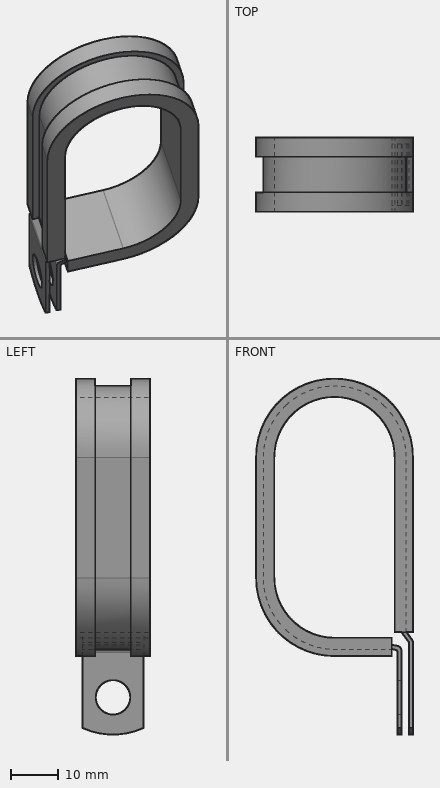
import cadquery as cq

height = 75.2
outer_radius = 16.59
band_thickness = 3.9
band_width = 15.7
groove_width = 7.5
groove_depth = 1.5
lower_center_z = 33.2
upper_center_z = height - outer_radius
upright_end_z = 21.7
foot_end_x = 12.1

strap_thickness = 0.9
tab_width = 12.95
tab_gap = 1.5
tab_tip_rise = 1.4
hole_diameter = 7.2
hole_z = 7.9
strap_outer_radius = outer_radius - groove_depth

joggle_end_z = 19.8
joggle_inner_drop = 0.2
joggle_step = 0.15
joggle_width = 1.1
joggle_bend_radius = 0.75
foot_bend_drop = 0.3
foot_bend_radius = 1.2
foot_inner_radius = 0.45


def extrude_centered(outline, width):
    """Extrude an XZ outline equally to both sides of Y = 0."""
    return outline.extrude(width / 2, both=True)


def band(outside, inside, width):
    """Loop between two radii, running from the foot round to the upright."""
    outline = (
        cq.Workplane("XZ")
        .moveTo(foot_end_x, lower_center_z - outside)
        .lineTo(0, lower_center_z - outside)
        .radiusArc((-outside, lower_center_z), outside)
        .lineTo(-outside, upper_center_z)
        .threePointArc((0, upper_center_z + outside), (outside, upper_center_z))
        .lineTo(outside, upright_end_z)
        .lineTo(inside, upright_end_z)
        .lineTo(inside, upper_center_z)
        .threePointArc((0, upper_center_z + inside), (-inside, upper_center_z))
        .lineTo(-inside, lower_center_z)
        .radiusArc((0, lower_center_z - inside), -inside)
        .lineTo(foot_end_x, lower_center_z - inside)
        .close()
    )
    return extrude_centered(outline, width)


def bent_strap(points, bend_radius, bend_z):
    """Strap end from its side outline, with its outer bend rounded."""
    strap = extrude_centered(cq.Workplane("XZ").polyline(points).close(), tab_width)
    outer_x = max(x for x, z in points)
    bend_edge = cq.selectors.NearestToPointSelector((outer_x, 0, bend_z))
    return strap.edges("|Y").edges(bend_edge).fillet(bend_radius)


def upright_tab():
    """Strap end that steps outward below the upright, then hangs straight."""
    start_x = strap_outer_radius + joggle_step
    outer_x = outer_radius
    inner_x = outer_x - strap_thickness
    inner_z = joggle_end_z - joggle_inner_drop
    points = [
        (start_x - joggle_width, upright_end_z),
        (start_x, upright_end_z),
        (outer_x, joggle_end_z),
        (outer_x, 0),
        (inner_x, 0),
        (inner_x, inner_z),
    ]
    return bent_strap(points, joggle_bend_radius, joggle_end_z)


def foot_tab():
    """Strap end that leaves the foot sideways and turns down."""
    outer_x = outer_radius - strap_thickness - tab_gap
    inner_x = outer_x - strap_thickness
    bottom_z = lower_center_z - strap_outer_radius
    top_z = bottom_z + strap_thickness
    points = [
        (foot_end_x, top_z),
        (outer_x, top_z - foot_bend_drop),
        (outer_x, 0),
        (inner_x, 0),
        (inner_x, bottom_z - foot_bend_drop),
        (foot_end_x, bottom_z),
    ]
    strap = bent_strap(points, foot_bend_radius, top_z - foot_bend_drop)
    inner_bend = cq.selectors.NearestToPointSelector((inner_x, 0, bottom_z - foot_bend_drop))
    return strap.edges("|Y").edges(inner_bend).fillet(foot_inner_radius)


def tab_profile():
    """Face shape shared by both tabs: a rounded tip and a round hole."""
    half_width = tab_width / 2
    plate = (
        cq.Workplane("YZ")
        .moveTo(-half_width, upright_end_z)
        .lineTo(-half_width, tab_tip_rise)
        .threePointArc((0, 0), (half_width, tab_tip_rise))
        .lineTo(half_width, upright_end_z)
        .close()
        .extrude(outer_radius)
    )
    hole = (
        cq.Workplane("YZ")
        .center(0, hole_z)
        .circle(hole_diameter / 2)
        .extrude(outer_radius)
    )
    return plate.cut(hole)


cushion = band(outer_radius, outer_radius - band_thickness, band_width)
groove = band(outer_radius, strap_outer_radius, groove_width)
tabs = upright_tab().union(foot_tab()).intersect(tab_profile())

result = cushion.cut(groove).union(tabs)